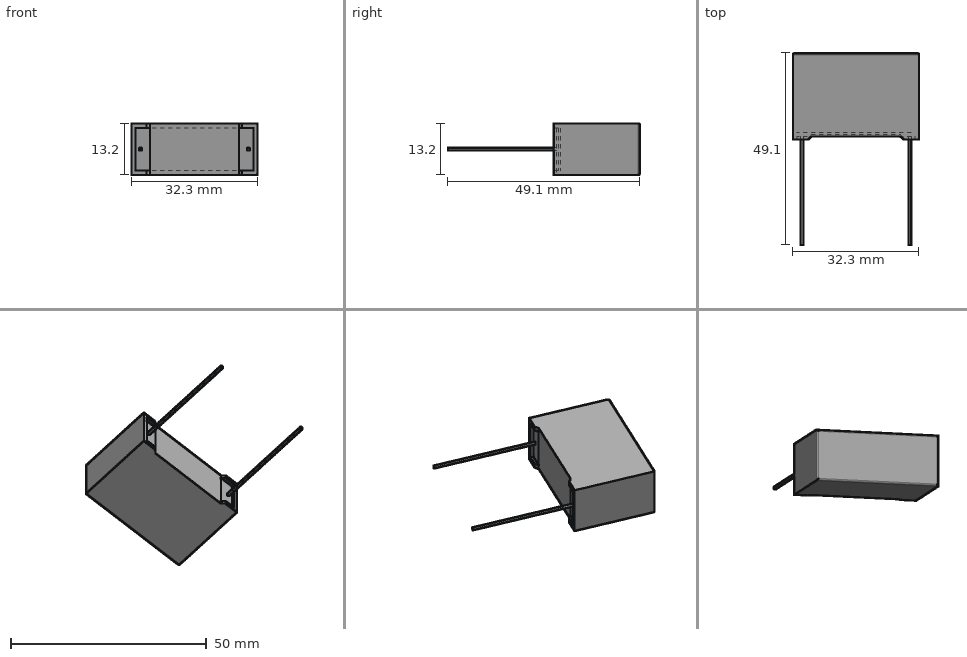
import cadquery as cq

case_width = 32.3
case_height = 13.2
total_depth = 49.1
case_depth = 22.1
back_round = 0.5

foot_width = 3.95
standoff = 0.8
flank_run = 0.9
side_wall = 1.05
top_wall = 1.2

resin_depth = 1.0
bridge_thickness = 0.5

lead_diameter = 0.8
lead_pitch = 27.6

half_width = case_width / 2
foot_tip_inner_x = half_width - foot_width
foot_base_inner_x = foot_tip_inner_x - flank_run
recess_half_width = half_width - side_wall
recess_height = case_height - 2 * top_wall
resin_back_y = standoff + resin_depth
lead_length = total_depth - case_depth


def y_box(width, height, y_start, y_end):
    """Box centred on X and Z that spans y_start to y_end."""
    depth = y_end - y_start
    return cq.Workplane("XY").box(width, depth, height).translate((0, y_start + depth / 2, 0))


def make_resin():
    """One block whose two ends reach the recess floors, stepped back behind the bridge."""
    block = y_box(2 * recess_half_width, recess_height, standoff, resin_back_y)
    bridge = y_box(2 * foot_base_inner_x, recess_height, standoff, standoff + bridge_thickness)
    return block.cut(bridge)


def make_case(resin):
    """Block with two feet, open foot recesses and a cavity that the resin fills."""
    block = y_box(case_width, case_height, 0, case_depth)
    block = block.faces(">Y").edges().fillet(back_round)
    gap_between_feet = (
        cq.Workplane("XY")
        .polyline([
            (-foot_tip_inner_x, 0),
            (-foot_base_inner_x, standoff),
            (foot_base_inner_x, standoff),
            (foot_tip_inner_x, 0),
        ])
        .close()
        .extrude(case_height / 2, both=True)
    )
    recesses = y_box(2 * recess_half_width, recess_height, 0, standoff)
    return block.cut(gap_between_feet).cut(recesses).cut(resin)


def make_lead(x):
    """Round wire running toward -Y from the recess floor, against the resin."""
    wire = cq.Workplane("XZ").circle(lead_diameter / 2).extrude(lead_length + standoff)
    return wire.translate((x, standoff, 0))


resin = make_resin()
case = make_case(resin)
leads = [make_lead(side * lead_pitch / 2) for side in (-1, 1)]

result = cq.Compound.makeCompound([case.val(), resin.val(), *[lead.val() for lead in leads]])